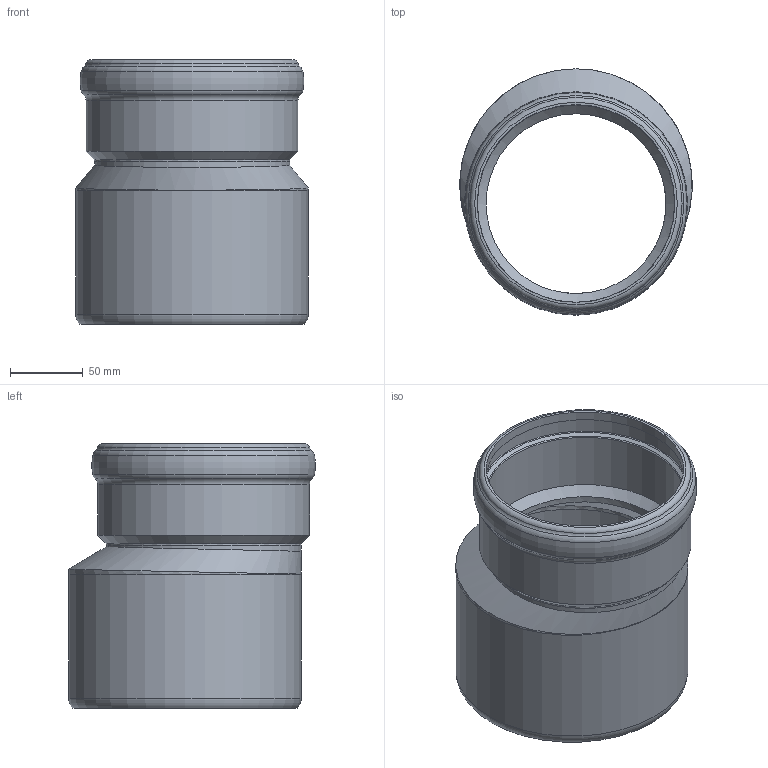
import cadquery as cq
import math


total_height = 182.0
total_depth = 169.79
spigot_radius = 160.0 / 2
neck_radius = 134.3 / 2
axis_offset = spigot_radius - neck_radius

spigot_bore_radius = 149.4 / 2
spigot_height = 92.0
lead_in_height = 6.9
lead_in_inset = 2.6

neck_bore_radius = 123.7 / 2
neck_joint = 112.0
neck_top = 113.2

rim_gap = 0.3
rim_rise = 3.6
shoulder_rim_low = spigot_height + rim_gap
shoulder_rim_high = spigot_height + rim_rise
shoulder_neck_low = 108.0
shoulder_neck_high = 111.0
shoulder_bore_drop = 3.0

sleeve_radius = 145.8 / 2
sleeve_bore_radius = 135.8 / 2
sleeve_bottom = neck_top + sleeve_radius - neck_radius
sleeve_top = 154.0
bore_cone_top = 120.9
bore_cone_bottom = bore_cone_top - (sleeve_bore_radius - neck_bore_radius)

bead_peak_radius = total_depth - spigot_radius - axis_offset
bead_bulge = 0.6
bead_edge_radius = bead_peak_radius - bead_bulge
bead_bottom = 160.8
bead_top = 173.75
bead_foot = 158.0
bead_foot_radius = 149.4 / 2
bead_shoulder = 177.25
bead_shoulder_radius = 74.3

lip_bore_radius = 136.1 / 2
lip_face_radius = 69.7
lip_waist_radius = 146.0 / 2
lip_waist = 179.3
lip_bore_bottom = 175.4

groove_radius = 71.5
groove_top = 173.75
groove_bottom = 163.5
groove_floor_edge = 161.4
groove_floor_radius = 68.5
groove_floor_end = 160.7
groove_corner_chamfer = 0.6


def revolve_about(profile, axis_y):
    """Revolve an (r, z) profile about the vertical line at y = axis_y."""
    solid = profile.close().revolve(360, (0, 0, 0), (0, 1, 0))
    return solid.translate((0, axis_y, 0))


def slanted_section(radius, axis_y, low, high):
    """Slanted cut through a vertical cylinder, rising from low at -Y to high at +Y."""
    tilt = math.atan2(high - low, 2 * radius)
    normal = cq.Vector(0, -math.sin(tilt), math.cos(tilt))
    center = cq.Vector(0, axis_y, (low + high) / 2)
    plane = cq.Plane(origin=center, xDir=(0, math.cos(tilt), math.sin(tilt)), normal=normal)
    return cq.Workplane(plane).ellipse(radius / math.cos(tilt), radius).wires().val()


def shoulder(rim_radius, top_radius, top_height, base_drop):
    """Blend from a flat ring on the spigot over a slanted rim to a flat ring on the neck."""
    base = slanted_section(rim_radius, 0, spigot_height - base_drop, spigot_height - base_drop)
    rim = slanted_section(rim_radius, 0, shoulder_rim_low - base_drop, shoulder_rim_high - base_drop)
    joint = slanted_section(top_radius, -axis_offset, shoulder_neck_low, shoulder_neck_high)
    top = slanted_section(top_radius, -axis_offset, top_height, top_height)
    slope = cq.Solid.makeLoft([base, rim, joint], True)
    collar = cq.Solid.makeLoft([joint, top], True)
    return cq.Workplane(slope).union(cq.Workplane(collar))


def spigot_outside():
    profile = (
        cq.Workplane("XZ")
        .moveTo(0, spigot_height)
        .lineTo(spigot_radius, spigot_height)
        .lineTo(spigot_radius, lead_in_height)
        .tangentArcPoint((spigot_radius - lead_in_inset, 0), relative=False)
        .lineTo(0, 0)
    )
    return revolve_about(profile, 0)


def socket_outside():
    profile = (
        cq.Workplane("XZ")
        .moveTo(0, neck_joint)
        .lineTo(neck_radius, neck_joint)
        .lineTo(neck_radius, neck_top)
        .lineTo(sleeve_radius, sleeve_bottom)
        .lineTo(sleeve_radius, sleeve_top)
        .tangentArcPoint((bead_foot_radius, bead_foot), relative=False)
        .tangentArcPoint((bead_edge_radius, bead_bottom), relative=False)
        .threePointArc((bead_peak_radius, (bead_bottom + bead_top) / 2), (bead_edge_radius, bead_top))
        .tangentArcPoint((bead_shoulder_radius, bead_shoulder), relative=False)
        .tangentArcPoint((lip_waist_radius, lip_waist), relative=False)
        .tangentArcPoint((lip_face_radius, total_height), relative=False)
        .lineTo(0, total_height)
    )
    return revolve_about(profile, -axis_offset)


def spigot_bore():
    return cq.Workplane("XY").circle(spigot_bore_radius).extrude(spigot_height - shoulder_bore_drop)


def socket_bore():
    profile = (
        cq.Workplane("XZ")
        .moveTo(0, bore_cone_bottom)
        .lineTo(neck_bore_radius, bore_cone_bottom)
        .lineTo(sleeve_bore_radius, bore_cone_top)
        .lineTo(sleeve_bore_radius, groove_floor_end)
        .lineTo(groove_floor_radius, groove_floor_edge)
        .lineTo(groove_radius - groove_corner_chamfer, groove_bottom - groove_corner_chamfer)
        .lineTo(groove_radius, groove_bottom)
        .lineTo(groove_radius, groove_top)
        .lineTo(lip_bore_radius, lip_bore_bottom)
        .lineTo(lip_bore_radius, total_height)
        .lineTo(0, total_height)
    )
    return revolve_about(profile, -axis_offset)


outside = (
    spigot_outside()
    .union(shoulder(spigot_radius, neck_radius, neck_joint, 0))
    .union(socket_outside())
)
inside = (
    spigot_bore()
    .union(shoulder(spigot_bore_radius, neck_bore_radius, bore_cone_bottom, shoulder_bore_drop))
    .union(socket_bore())
)
result = outside.cut(inside)